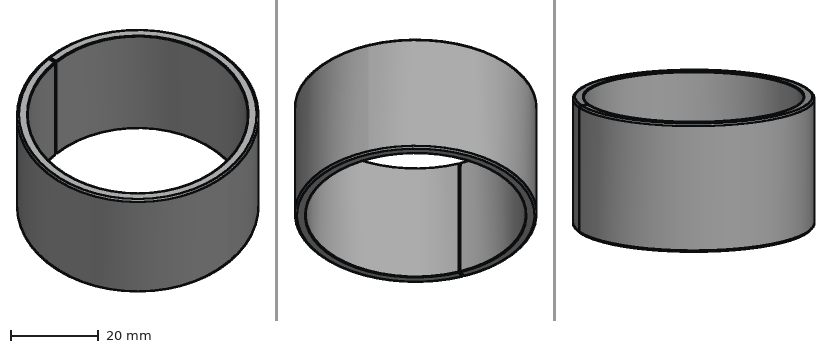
import cadquery as cq

outer_diameter = 55.0
wall_thickness = 2.5
height = 30.0
gap_width = 0.5

outer_chamfer = 0.5
inner_chamfer = 0.15

outer_radius = outer_diameter / 2
inner_radius = outer_radius - wall_thickness
top = height / 2


def wall_section():
    """Wall profile in the XZ plane, chamfered at all four corners."""
    upper_half = [
        (outer_radius, top - outer_chamfer),
        (outer_radius - outer_chamfer, top),
        (inner_radius + inner_chamfer, top),
        (inner_radius, top - inner_chamfer),
    ]
    lower_half = [(radius, -z) for radius, z in reversed(upper_half)]
    return cq.Workplane("XZ").polyline(upper_half + lower_half).close()


def split_gap():
    """Full-height slit through the wall on the -X side, with one face on the XZ plane."""
    slit = cq.Workplane("XY").box(outer_radius, gap_width, height)
    return slit.translate((-outer_radius, gap_width / 2, 0))


ring = wall_section().revolve(360, (0, 0, 0), (0, 1, 0))
result = ring.cut(split_gap())